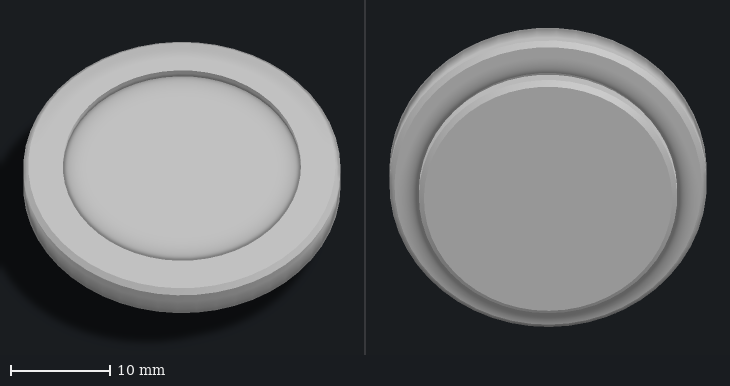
import cadquery as cq

flange_diameter = 31.95
flange_thickness = 4.0
flange_chamfer = 0.5

total_height = 7.0
neck_diameter = 25.2
neck_height = 1.25
lip_diameter = 26.0
lip_height = total_height - flange_thickness - neck_height
lip_chamfer = 0.5

recess_diameter = 24.0
recess_depth = 1.0


def disc(diameter, height, base_z):
    """Solid disc on the Z axis, standing on base_z."""
    return cq.Workplane("XY").workplane(offset=base_z).circle(diameter / 2).extrude(height)


neck_base = lip_height
flange_base = neck_base + neck_height

lip = disc(lip_diameter, lip_height, 0).faces("<Z").edges().chamfer(lip_chamfer)
neck = disc(neck_diameter, neck_height, neck_base)
flange = disc(flange_diameter, flange_thickness, flange_base).edges("%CIRCLE").chamfer(flange_chamfer)
recess = disc(recess_diameter, recess_depth, total_height - recess_depth)

result = lip.union(neck).union(flange).cut(recess)